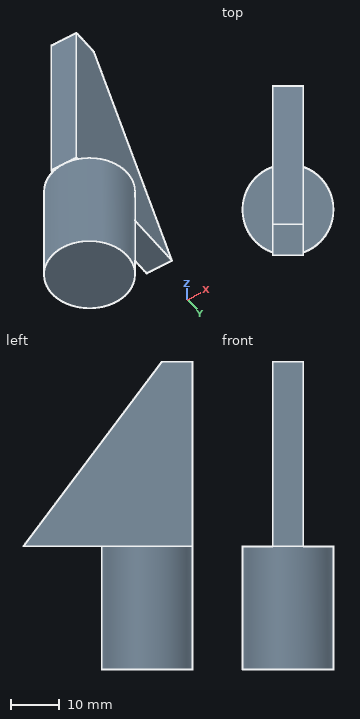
import cadquery as cq

post_diameter = 18.8
post_height = 25.4

total_height = 63.5
blade_thickness = 6.35
blade_length = 34.9
blade_top_length = 6.35
blade_front = -post_diameter / 2


def make_post():
    return cq.Workplane("XY").circle(post_diameter / 2).extrude(post_height)


def make_blade():
    """Vertical front edge, short flat top and a sloping back that overhangs the post."""
    profile = [
        (blade_front, post_height),
        (blade_front + blade_length, post_height),
        (blade_front + blade_top_length, total_height),
        (blade_front, total_height),
    ]
    return cq.Workplane("YZ").polyline(profile).close().extrude(blade_thickness / 2, both=True)


result = make_post().union(make_blade())